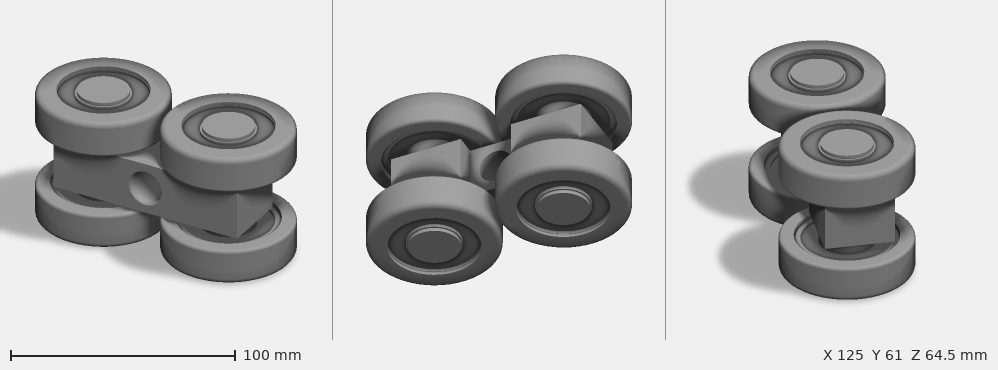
import cadquery as cq

wheel_spacing = 64.0
wheel_diameter = 61.0
wheel_width = 17.0
wheel_gap = 2.6
overall_height = 64.5

block_length = 94.0
block_height = 24.9
block_front = -18.8
block_depth = 32.0

bore_diameter = 16.0
bore_chamfer = 0.5

slot_width = 25.0
slot_depth = 9.8

outer_edge_radius = 2.5
inner_edge_radius = 1.5

lip_radius = 21.0
lip_thickness = 1.5
bearing_radius = 23.8
bearing_edge_radius = 1.5
bearing_depth = 1.5
shield_radius = 20.8
shield_inset = 1.5
inner_race_radius = 12.8

pin_radius = 11.9

wheel_bottom = block_height / 2 + wheel_gap
wheel_top = wheel_bottom + wheel_width
bearing_bottom = wheel_bottom + bearing_depth
bearing_top = wheel_top - lip_thickness


def disc(radius, bottom, top):
    """Cylinder on the wheel axis between two heights."""
    return cq.Workplane("XY").workplane(offset=bottom).circle(radius).extrude(top - bottom)


def make_tyre():
    """Wheel body with rounded rims, bored for the bearing up to the lip."""
    tyre = disc(wheel_diameter / 2, wheel_bottom, wheel_top)
    tyre = tyre.faces(">Z").edges().fillet(outer_edge_radius)
    tyre = tyre.faces("<Z").edges().fillet(inner_edge_radius)
    tyre = tyre.cut(disc(bearing_radius, wheel_bottom, bearing_top))
    return tyre.cut(disc(lip_radius, bearing_top, wheel_top))


def make_bearing():
    """Solid bearing whose shields are sunk between the outer ring and the inner race."""
    bearing = disc(bearing_radius, bearing_bottom, bearing_top)
    bearing = bearing.faces("<Z").edges().fillet(bearing_edge_radius)
    bearing = bearing.cut(disc(shield_radius, bearing_bottom, bearing_bottom + shield_inset))
    bearing = bearing.cut(disc(shield_radius, bearing_top - shield_inset, bearing_top))
    return bearing.union(disc(inner_race_radius, bearing_bottom, bearing_top))


def make_upper_wheel():
    """Wheel with its bearing, pin and spacer, on the Z axis above the block."""
    block_top = block_height / 2
    pin = disc(pin_radius, block_top, overall_height / 2)
    spacer = disc(inner_race_radius, block_top, bearing_bottom)
    return make_tyre().union(make_bearing()).union(pin).union(spacer)


def make_block():
    """Rectangular block with a slot in its back and a cross bore chamfered at the front."""
    block_back = block_front + block_depth
    block = cq.Workplane("XY").box(block_length, block_depth, block_height)
    block = block.translate((0, block_front + block_depth / 2, 0))
    slot = cq.Workplane("XY").box(slot_width, slot_depth, block_height)
    block = block.cut(slot.translate((0, block_back - slot_depth / 2, 0)))
    bore = cq.Workplane("XZ").circle(bore_diameter / 2).extrude(block_depth, both=True)
    block = block.cut(bore)
    return block.faces("<Y").edges("%CIRCLE").chamfer(bore_chamfer)


upper_wheel = make_upper_wheel()
lower_wheel = upper_wheel.mirror("XY")

result = make_block()
for side in (-1, 1):
    for wheel in (upper_wheel, lower_wheel):
        result = result.union(wheel.translate((side * wheel_spacing / 2, 0, 0)))